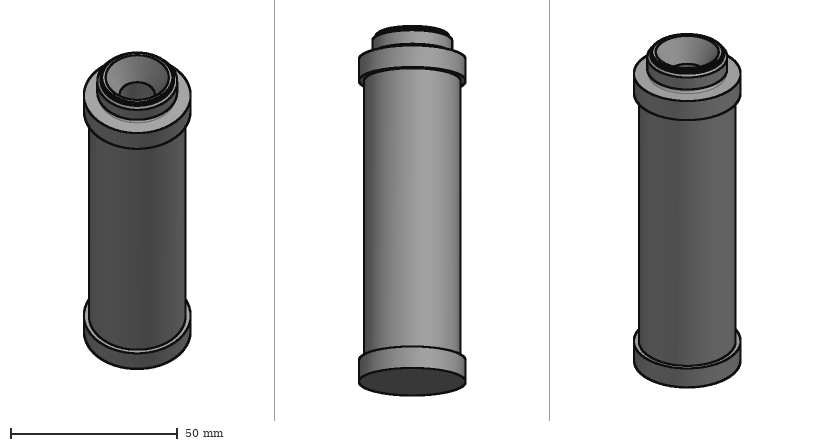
import cadquery as cq
import math

total_height = 107.5
collar_diameter = 32.0
collar_height = 6.7
body_diameter = 29.0

cap_diameter = 24.0
cap_tip_diameter = 22.0
cap_chamfer_height = 0.8
lip_height = 0.4
tip_band_height = 0.5
lip_diameter = 21.1
cap_bottom_drop = 5.9
neck_height = 1.6
neck_top_diameter = 22.8
neck_waist_diameter = 21.9
neck_base_diameter = 23.3

mouth_diameter = 18.9
bore_diameter = 10.5
funnel_half_angle = 30.0

cap_bottom = total_height - cap_bottom_drop
upper_collar_top = cap_bottom - neck_height
upper_collar_bottom = upper_collar_top - collar_height
lip_bottom = total_height - lip_height
tip_band_bottom = lip_bottom - tip_band_height
cap_side_top = tip_band_bottom - cap_chamfer_height
funnel_depth = (mouth_diameter - bore_diameter) / 2 / math.tan(math.radians(funnel_half_angle))
funnel_bottom = total_height - funnel_depth
bore_floor = collar_height


def at(diameter, height):
    """Point of the half profile at a given diameter and height."""
    return (diameter / 2, height)


profile = (
    cq.Workplane("XZ")
    .moveTo(0, 0)
    .lineTo(*at(collar_diameter, 0))
    .lineTo(*at(collar_diameter, collar_height))
    .lineTo(*at(body_diameter, collar_height))
    .lineTo(*at(body_diameter, upper_collar_bottom))
    .lineTo(*at(collar_diameter, upper_collar_bottom))
    .lineTo(*at(collar_diameter, upper_collar_top))
    .lineTo(*at(neck_base_diameter, upper_collar_top))
    .threePointArc(
        at(neck_waist_diameter, upper_collar_top + neck_height / 2),
        at(neck_top_diameter, cap_bottom),
    )
    .lineTo(*at(cap_diameter, cap_bottom))
    .lineTo(*at(cap_diameter, cap_side_top))
    .lineTo(*at(cap_tip_diameter, tip_band_bottom))
    .lineTo(*at(cap_tip_diameter, lip_bottom))
    .lineTo(*at(lip_diameter, total_height))
    .lineTo(*at(mouth_diameter, total_height))
    .lineTo(*at(bore_diameter, funnel_bottom))
    .lineTo(*at(bore_diameter, bore_floor))
    .lineTo(0, bore_floor)
    .close()
)

result = profile.revolve(360, (0, 0, 0), (0, 1, 0))